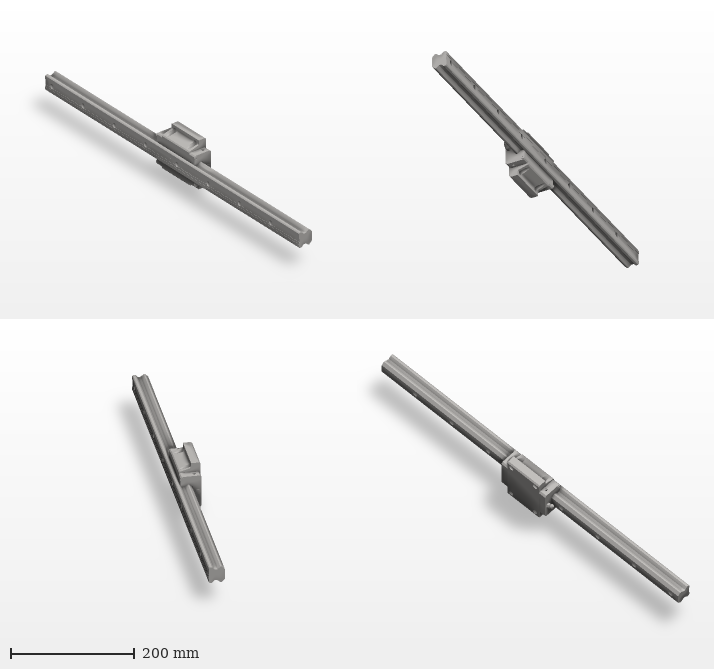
import cadquery as cq
import math


rail_length = 656.56
rail_height = 26.26
rail_half_width = 14.14
neck_half_width = 9.8
neck_inset = rail_half_width - neck_half_width
rail_top_chamfer = 5.0
head_bottom = 19.1
neck_top = 13.9
neck_bottom = 9.6
base_top = neck_bottom - neck_inset
base_chamfer = 1.5
outer_groove_half_width = 7.0
inner_groove_half_width = 3.0
groove_step = 0.3
bolt_hole_diameter = 9.1
bolt_pitch = 80.81
bolt_count = 8
first_bolt_offset = 17.0

assembly_height = 42.42
carriage_bottom = 7.07
passage_side_clearance = 0.3
passage_top_clearance = 1.0

flange_section_length = 70.0
flange_half_width = 90.91 / 2
flange_bottom = 27.1
flange_chamfer = 2.4
flange_fillet = 2.6
skirt_top_half_width = 36.8
skirt_bottom_half_width = 31.4
skirt_bottom = 8.7
block_bottom_half_width = 29.5
mount_hole_diameter = 9.1
mount_spacing_x = 52.53
mount_spacing_z = 72.73

carriage_length = 93.0
end_plate_thickness = 2.0
end_half_width = 28.9
end_top = assembly_height - 0.5
end_top_chamfer = 3.0
end_bottom_chamfer = 2.0
plate_outer_x = carriage_length / 2 + end_plate_thickness

port_x = 40.5
port_y = 31.1
port_diameter = 5.5
port_depth = 1.0
port_core_diameter = 2.8
port_core_depth = 4.0

screw_head_diameter = 7.2
screw_head_height = 1.4
screw_y = 9.8
screw_z = 24.4
socket_diameter = 3.0
socket_depth = 0.8
plug_diameter = 9.0
plug_height = 1.4

nipple_y = 35.9
nipple_hex_diameter = 9.4
nipple_hex_length = 3.0
nipple_stem_diameter = 8.0
nipple_elbow_offset = 5.0
nipple_arm_angle = 45.0
nipple_arm_diameter = 7.6
nipple_arm_length = 7.0
nipple_cone_length = 4.5
nipple_tip_diameter = 1.6


def extrude_mirrored(half_outline, x_start, length):
    """Extrude along +X an outline given as (z, y) points of its +Z half, from top to bottom."""
    other_half = [(-z, y) for z, y in reversed(half_outline)]
    section_plane = cq.Plane(origin=(x_start, 0, 0), xDir=(0, 0, -1), normal=(1, 0, 0))
    outline = [(-z, y) for z, y in half_outline + other_half]
    return cq.Workplane(section_plane).polyline(outline).close().extrude(length)


def make_rail():
    half_outline = [
        (rail_half_width - rail_top_chamfer, rail_height),
        (rail_half_width, rail_height - rail_top_chamfer),
        (rail_half_width, head_bottom),
        (neck_half_width, neck_top),
        (neck_half_width, neck_bottom),
        (rail_half_width, base_top),
        (rail_half_width, base_chamfer),
        (rail_half_width - base_chamfer, 0),
        (outer_groove_half_width, 0),
        (outer_groove_half_width, groove_step),
        (inner_groove_half_width, groove_step),
        (inner_groove_half_width, 2 * groove_step),
    ]
    rail = extrude_mirrored(half_outline, -rail_length / 2, rail_length)
    first_bolt_x = first_bolt_offset - rail_length / 2
    bolt_points = [(first_bolt_x + i * bolt_pitch, 0) for i in range(bolt_count)]
    bolt_holes = (
        cq.Workplane("XZ").pushPoints(bolt_points).circle(bolt_hole_diameter / 2).extrude(-rail_height)
    )
    return rail.cut(bolt_holes)


def make_rail_passage():
    """Channel around the rail, open at the bottom, as long as the carriage and its end plates."""
    side_z = rail_half_width + passage_side_clearance
    neck_z = neck_half_width + passage_side_clearance
    passage_top = rail_height + passage_top_clearance
    half_outline = [
        (side_z - rail_top_chamfer, passage_top),
        (side_z, passage_top - rail_top_chamfer),
        (side_z, head_bottom),
        (neck_z, neck_top),
        (neck_z, neck_bottom),
        (side_z, base_top),
    ]
    return extrude_mirrored(half_outline, -plate_outer_x, 2 * plate_outer_x)


def make_end_section(x_start, length):
    """Solid with the narrow section shared by the carriage ends and the end plates."""
    half_outline = [
        (end_half_width - end_top_chamfer, end_top),
        (end_half_width, end_top - end_top_chamfer),
        (end_half_width, carriage_bottom + end_bottom_chamfer),
        (end_half_width - end_bottom_chamfer, carriage_bottom),
    ]
    return extrude_mirrored(half_outline, x_start, length)


def make_flange_section():
    half_outline = [
        (flange_half_width - flange_chamfer, assembly_height),
        (flange_half_width, assembly_height - flange_chamfer),
        (flange_half_width, flange_bottom),
        (skirt_top_half_width, flange_bottom),
        (skirt_bottom_half_width, skirt_bottom),
        (block_bottom_half_width, carriage_bottom),
    ]
    section = extrude_mirrored(half_outline, -flange_section_length / 2, flange_section_length)
    for side in (-1, 1):
        corner = cq.selectors.NearestToPointSelector((0, flange_bottom, side * skirt_top_half_width))
        section = section.edges(corner).fillet(flange_fillet)
    mount_holes = (
        cq.Workplane("XZ")
        .rarray(mount_spacing_x, mount_spacing_z, 2, 2)
        .circle(mount_hole_diameter / 2)
        .extrude(-assembly_height)
    )
    return section.cut(mount_holes)


def make_port(x, side):
    """Cutter for one stepped port, going inward from the side face at z = side * end_half_width."""
    face = cq.Workplane("XY", origin=(x, port_y, side * end_half_width))
    recess = face.circle(port_diameter / 2).extrude(-side * port_depth)
    core = face.circle(port_core_diameter / 2).extrude(-side * port_core_depth)
    return recess.union(core)


def make_carriage():
    carriage = make_end_section(-carriage_length / 2, carriage_length)
    carriage = carriage.union(make_flange_section())
    for x in (-port_x, port_x):
        for side in (-1, 1):
            carriage = carriage.cut(make_port(x, side))
    return carriage.cut(make_rail_passage())


def make_end_plate(side):
    plate = make_end_section(carriage_length / 2, end_plate_thickness).cut(make_rail_passage())
    return plate if side > 0 else plate.mirror("YZ")


def make_screw(side, z):
    head = (
        cq.Workplane("YZ", origin=(plate_outer_x, screw_y, z))
        .circle(screw_head_diameter / 2)
        .extrude(screw_head_height)
        .faces(">X")
        .workplane()
        .polygon(6, socket_diameter)
        .cutBlind(-socket_depth)
    )
    return head if side > 0 else head.mirror("YZ")


def make_plug():
    return (
        cq.Workplane("YZ", origin=(plate_outer_x, nipple_y, 0))
        .circle(plug_diameter / 2)
        .extrude(plug_height)
    )


def make_nipple():
    seat = cq.Workplane("YZ", origin=(-plate_outer_x, nipple_y, 0))
    hexagon = seat.polygon(6, nipple_hex_diameter).extrude(-nipple_hex_length)
    stem = seat.circle(nipple_stem_diameter / 2).extrude(-nipple_elbow_offset)
    elbow_center = (-plate_outer_x - nipple_elbow_offset, nipple_y, 0)
    elbow = cq.Workplane("XY", origin=elbow_center).sphere(nipple_stem_diameter / 2)
    angle = math.radians(nipple_arm_angle)
    arm_plane = cq.Plane(
        origin=elbow_center,
        xDir=(0, 1, 0),
        normal=(-math.cos(angle), 0, math.sin(angle)),
    )
    tip_distance = nipple_arm_length + nipple_cone_length
    arm = (
        cq.Workplane(arm_plane)
        .transformed(rotate=(90, 0, 0))
        .lineTo(nipple_arm_diameter / 2, 0)
        .lineTo(nipple_arm_diameter / 2, nipple_arm_length)
        .lineTo(nipple_tip_diameter / 2, tip_distance)
        .lineTo(0, tip_distance)
        .close()
        .revolve(360, (0, 0), (0, 1))
    )
    return hexagon.union(stem).union(elbow).union(arm)


rail = make_rail()
carriage = make_carriage()
end_plates = [make_end_plate(side) for side in (-1, 1)]
screws = [make_screw(side, z) for side in (-1, 1) for z in (-screw_z, screw_z)]
plug = make_plug()
nipple = make_nipple()

bodies = [rail, carriage, *end_plates, *screws, plug, nipple]
result = cq.Compound.makeCompound([body.solids().val() for body in bodies])